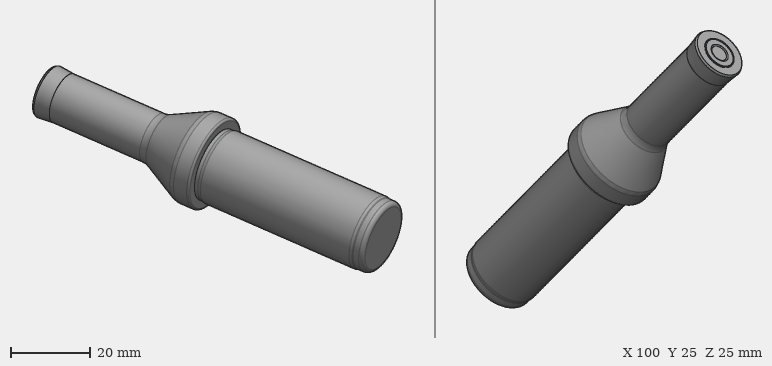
import cadquery as cq
import math

TOTAL_LENGTH = 100.0
TIP_LENGTH = 4.9
COLLAR_CONE_END = 44.8
COLLAR_REAR = 50.0
UNDERCUT_END = 51.0
REAR_CONE_START = 96.1

TIP_DIAMETER = 14.2
NECK_DIAMETER = 13.4
COLLAR_DIAMETER = 25.0
SHANK_DIAMETER = 20.0
RELIEF_DIAMETER = 19.5
CORE_DIAMETER = 8.8

COLLAR_CONE_ANGLE = 26.0
SHANK_CONE_ANGLE = 15.0
TIP_CHAMFER_LENGTH = 0.6
TIP_CHAMFER_DEPTH = 0.3
NECK_ROUND = 5.0
COLLAR_FRONT_ROUND = 3.0
COLLAR_REAR_ROUND = 0.6
PILOT_BLEND_ROUND = 0.8
PILOT_END_ROUND = 1.2
SEAM_CHAMFER = 0.3
RECESS_DIAMETER = 5.2
RECESS_FLOOR_DIAMETER = 4.4
RECESS_DEPTH = 0.2

tip_radius = TIP_DIAMETER / 2
neck_radius = NECK_DIAMETER / 2
collar_radius = COLLAR_DIAMETER / 2
shank_radius = SHANK_DIAMETER / 2
relief_radius = RELIEF_DIAMETER / 2
core_radius = CORE_DIAMETER / 2

collar_cone_length = (collar_radius - neck_radius) / math.tan(math.radians(COLLAR_CONE_ANGLE))
collar_cone_start = COLLAR_CONE_END - collar_cone_length
shank_cone_length = (shank_radius - relief_radius) / math.tan(math.radians(SHANK_CONE_ANGLE))
rear_cone_end = REAR_CONE_START + shank_cone_length


def revolve_about_x(points):
    """Turn a closed outline of (x, radius) points about the X axis."""
    return cq.Workplane("XY").polyline(points).close().revolve(360, (0, 0, 0), (1, 0, 0))


def circle_edge(body, x, radius):
    """Select the circular edge at station x with the given radius."""
    margin = 0.02
    corner_low = (x - margin, -radius - margin, -radius - margin)
    corner_high = (x + margin, radius + margin, radius + margin)
    inside = cq.selectors.BoxSelector(corner_low, corner_high, boundingbox=True)
    ring = cq.selectors.RadiusNthSelector(-1)
    return body.edges(inside).edges("%CIRCLE").edges(ring)


def make_tip_ring():
    """Ring around the spigot, tapering from the front face to the neck."""
    return revolve_about_x([
        (0, core_radius),
        (0, tip_radius - TIP_CHAMFER_DEPTH),
        (TIP_CHAMFER_LENGTH, tip_radius),
        (TIP_LENGTH, neck_radius),
        (TIP_LENGTH, core_radius),
    ])


def make_holder():
    """Spigot, neck, flared collar and shank, turned as one piece."""
    holder = revolve_about_x([
        (RECESS_DEPTH, 0),
        (RECESS_DEPTH, RECESS_FLOOR_DIAMETER / 2),
        (0, RECESS_DIAMETER / 2),
        (0, core_radius - SEAM_CHAMFER),
        (SEAM_CHAMFER, core_radius),
        (TIP_LENGTH, core_radius),
        (TIP_LENGTH, neck_radius),
        (collar_cone_start, neck_radius),
        (COLLAR_CONE_END, collar_radius),
        (COLLAR_REAR, collar_radius),
        (COLLAR_REAR, relief_radius),
        (UNDERCUT_END, relief_radius),
        (UNDERCUT_END + shank_cone_length, shank_radius),
        (REAR_CONE_START, shank_radius),
        (rear_cone_end, relief_radius),
        (TOTAL_LENGTH, relief_radius),
        (TOTAL_LENGTH, 0),
    ])
    holder = circle_edge(holder, collar_cone_start, neck_radius).fillet(NECK_ROUND)
    holder = circle_edge(holder, COLLAR_CONE_END, collar_radius).fillet(COLLAR_FRONT_ROUND)
    holder = circle_edge(holder, COLLAR_REAR, collar_radius).fillet(COLLAR_REAR_ROUND)
    holder = circle_edge(holder, rear_cone_end, relief_radius).fillet(PILOT_BLEND_ROUND)
    return circle_edge(holder, TOTAL_LENGTH, relief_radius).fillet(PILOT_END_ROUND)


tip_ring = make_tip_ring()
holder = make_holder()

result = cq.Compound.makeCompound([tip_ring.val(), holder.val()])